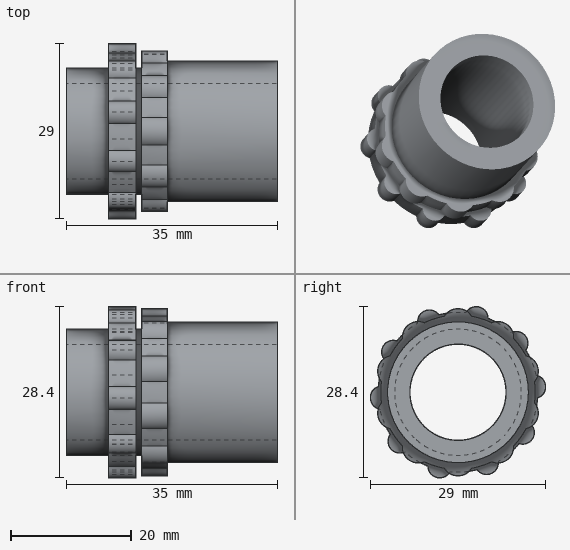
import cadquery as cq

TOTAL_LENGTH = 35.0
BORE_DIAMETER = 15.9
SPIGOT_DIAMETER = 20.95
BARREL_DIAMETER = 23.3

LOBE_COUNT = 10
LOBE_PITCH = 360.0 / LOBE_COUNT

COLLAR_START = 12.45
COLLAR_END = 16.73
COLLAR_ROOT_DIAMETER = 25.6
COLLAR_LOBE_CENTRE_RADIUS = 11.25
COLLAR_LOBE_RADIUS = 2.62
COLLAR_FIRST_LOBE_ANGLE = LOBE_PITCH / 2

NUT_START = 6.95
NUT_END = 11.5
NUT_ROOT_DIAMETER = 26.5
NUT_LOBE_CENTRE_RADIUS = 12.6
NUT_LOBE_RADIUS = 1.95
NUT_FIRST_LOBE_ANGLE = 4.1


def cylinder(diameter, start, end):
    """Cylinder along X between two axial positions."""
    return cq.Workplane("YZ", origin=(start, 0, 0)).circle(diameter / 2).extrude(end - start)


def lobed_disc(root_diameter, lobe_centre_radius, lobe_radius, first_angle, start, end):
    """Disc along X with round grip lobes; angles run from +Y towards +Z."""
    lobes = (
        cq.Workplane("YZ", origin=(start, 0, 0))
        .polarArray(lobe_centre_radius, first_angle, 360, LOBE_COUNT)
        .circle(lobe_radius)
        .extrude(end - start)
    )
    return cylinder(root_diameter, start, end).union(lobes)


def make_adapter():
    """Spigot, lobed collar and barrel in one piece, with a through bore."""
    spigot = cylinder(SPIGOT_DIAMETER, 0, COLLAR_START)
    collar = lobed_disc(
        COLLAR_ROOT_DIAMETER,
        COLLAR_LOBE_CENTRE_RADIUS,
        COLLAR_LOBE_RADIUS,
        COLLAR_FIRST_LOBE_ANGLE,
        COLLAR_START,
        COLLAR_END,
    )
    barrel = cylinder(BARREL_DIAMETER, COLLAR_END, TOTAL_LENGTH)
    bore = cylinder(BORE_DIAMETER, 0, TOTAL_LENGTH)
    return spigot.union(collar).union(barrel).cut(bore)


def make_lock_nut():
    """Lobed ring whose hole fits the spigot."""
    disc = lobed_disc(
        NUT_ROOT_DIAMETER,
        NUT_LOBE_CENTRE_RADIUS,
        NUT_LOBE_RADIUS,
        NUT_FIRST_LOBE_ANGLE,
        NUT_START,
        NUT_END,
    )
    return disc.cut(cylinder(SPIGOT_DIAMETER, NUT_START, NUT_END))


adapter = make_adapter()
lock_nut = make_lock_nut()

result = cq.Compound.makeCompound([adapter.val(), lock_nut.val()])